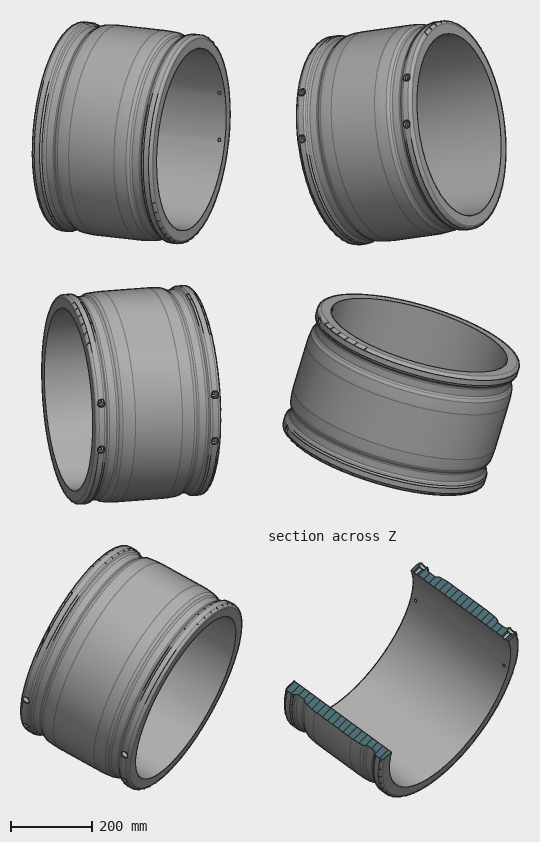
import cadquery as cq
import math

LENGTH = 320.0
BORE_DIAMETER = 452.0
BAND_RADIUS = 260.0
BEAD_RADIUS = 259.0
GROOVE_RADIUS = 251.0

BAND_FLAT_LENGTH = 120.0
CROWN_ARC_RADIUS = 200.0
SHOULDER_RADIUS = 15.0
EDGE_RADIUS = 8.0
BEAD_FLAT_END = 22.0
WALL_ANGLE = math.radians(45)

PORT_END_DISTANCE = 15.0
PORT_HEIGHT = 60.0
DRILL_DIAMETER = 7.5
COUNTERBORE_DIAMETER = 18.0
COUNTERBORE_FLOOR_Y = 240.0
SPOTFACE_DIAMETER = 20.0
SPOTFACE_FLOOR_Y = 252.5

HALF_LENGTH = LENGTH / 2
BORE_RADIUS = BORE_DIAMETER / 2


def arc_point(center, radius, angle):
    """Point on a circle, with the angle measured from the outward radial direction towards -X."""
    return (center[0] - radius * math.sin(angle), center[1] + radius * math.cos(angle))


def left_outline():
    """Outer outline from the left end face to the cylindrical middle of the band.

    Returns the corner points as (x, radius) and, for each stretch between two
    corners, the middle point of its arc, or None where the stretch is straight.
    """
    end_x = -HALF_LENGTH

    outer_edge = (end_x + EDGE_RADIUS, BEAD_RADIUS - EDGE_RADIUS)
    inner_edge = (end_x + BEAD_FLAT_END, BEAD_RADIUS - EDGE_RADIUS)
    wall_top = arc_point(inner_edge, EDGE_RADIUS, -WALL_ANGLE)
    corner_rise = EDGE_RADIUS * (1 - math.cos(WALL_ANGLE))
    wall_bottom_radius = GROOVE_RADIUS + corner_rise
    wall_bottom = (
        wall_top[0] + (wall_top[1] - wall_bottom_radius) / math.tan(WALL_ANGLE),
        wall_bottom_radius,
    )
    floor_level = GROOVE_RADIUS + EDGE_RADIUS
    bead_corner = (wall_bottom[0] + EDGE_RADIUS * math.sin(WALL_ANGLE), floor_level)

    crown = (-BAND_FLAT_LENGTH / 2, BAND_RADIUS - CROWN_ARC_RADIUS)
    center_gap = EDGE_RADIUS + SHOULDER_RADIUS
    shoulder_level = floor_level - center_gap * math.cos(WALL_ANGLE)
    crown_angle = math.acos((shoulder_level - crown[1]) / (CROWN_ARC_RADIUS - SHOULDER_RADIUS))
    shoulder = arc_point(crown, CROWN_ARC_RADIUS - SHOULDER_RADIUS, crown_angle)
    band_corner = arc_point(shoulder, center_gap, WALL_ANGLE)

    corners = [
        (end_x, outer_edge[1]),
        (outer_edge[0], BEAD_RADIUS),
        (inner_edge[0], BEAD_RADIUS),
        wall_top,
        wall_bottom,
        (bead_corner[0], GROOVE_RADIUS),
        (band_corner[0], GROOVE_RADIUS),
        arc_point(band_corner, -EDGE_RADIUS, WALL_ANGLE),
        arc_point(shoulder, SHOULDER_RADIUS, crown_angle),
        (crown[0], BAND_RADIUS),
    ]
    arc_middles = [
        arc_point(outer_edge, EDGE_RADIUS, math.pi / 4),
        None,
        arc_point(inner_edge, EDGE_RADIUS, -WALL_ANGLE / 2),
        None,
        arc_point(bead_corner, -EDGE_RADIUS, -WALL_ANGLE / 2),
        None,
        arc_point(band_corner, -EDGE_RADIUS, WALL_ANGLE / 2),
        arc_point(shoulder, SHOULDER_RADIUS, (WALL_ANGLE + crown_angle) / 2),
        arc_point(crown, CROWN_ARC_RADIUS, crown_angle / 2),
    ]
    return corners, arc_middles


def mirrored(points):
    """The points reflected to the other end of the sleeve, in reverse order."""
    return [point and (-point[0], point[1]) for point in reversed(points)]


def sleeve():
    """The complete ring, revolved about the X axis, without the ports."""
    corners, arc_middles = left_outline()
    corners = corners + mirrored(corners)
    arc_middles = arc_middles + [None] + mirrored(arc_middles)

    profile = cq.Workplane("XZ").moveTo(-HALF_LENGTH, BORE_RADIUS).lineTo(*corners[0])
    for corner, arc_middle in zip(corners[1:], arc_middles):
        if arc_middle is None:
            profile = profile.lineTo(*corner)
        else:
            profile = profile.threePointArc(arc_middle, corner)
    profile = profile.lineTo(HALF_LENGTH, BORE_RADIUS).close()
    return profile.revolve(360, (0, 0, 0), (1, 0, 0))


def port(x, z):
    """Cutter for one port: a drilled hole, a counterbore and a shallow spotface.

    Each step runs outward from its floor; the drilled hole starts inside the bore.
    """
    steps = [
        (DRILL_DIAMETER, 0),
        (COUNTERBORE_DIAMETER, COUNTERBORE_FLOOR_Y),
        (SPOTFACE_DIAMETER, SPOTFACE_FLOOR_Y),
    ]
    cutter = cq.Workplane("XZ")
    for diameter, floor_y in steps:
        step = (
            cq.Workplane("XZ", origin=(x, floor_y, z))
            .circle(diameter / 2)
            .extrude(floor_y - BAND_RADIUS)
        )
        cutter = cutter.add(step)
    return cutter.combine()


result = sleeve()

port_x = HALF_LENGTH - PORT_END_DISTANCE
for x in (-port_x, port_x):
    for z in (-PORT_HEIGHT, PORT_HEIGHT):
        result = result.cut(port(x, z))